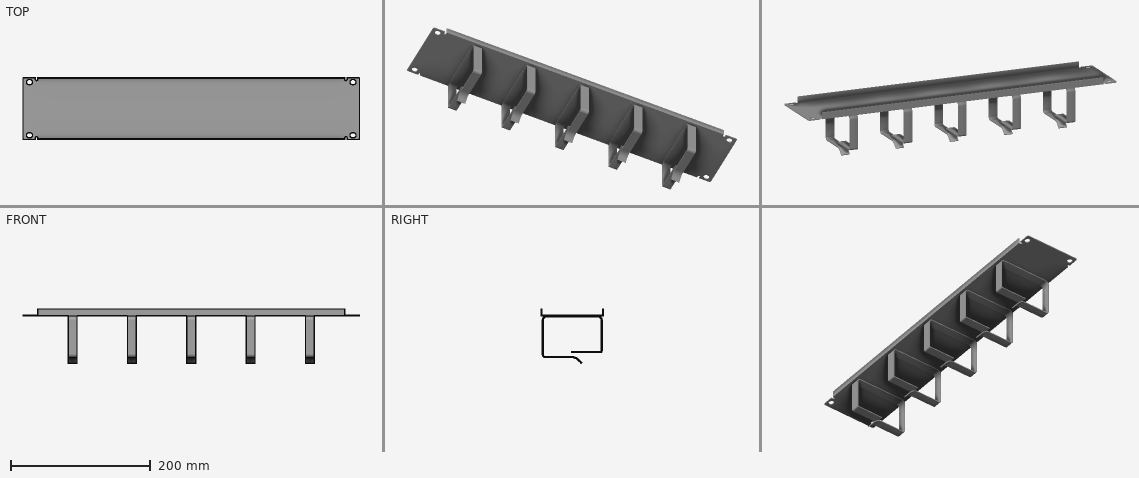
import cadquery as cq
import math

PANEL_LENGTH = 482.6
PANEL_WIDTH = 89.0
SHEET = 1.5
CORNER_RADIUS = 2.0
OVERALL_HEIGHT = 77.93

FLANGE_LENGTH = 440.0
FLANGE_HEIGHT = 10.0

NOTCH_WIDTH = 3.2
NOTCH_DEPTH = 4.2

SLOT_LENGTH = 8.5
SLOT_WIDTH = 7.0
SLOT_SPACING_X = 463.6
SLOT_SPACING_Y = 76.2

RING_COUNT = 5
RING_PITCH = 85.0
RING_WIDTH = 13.0
RING_SPAN = PANEL_WIDTH - 2 * SHEET
WEB_BEND_RADIUS = 5.25
ARM_BEND_RADIUS = 3.9
LIP_BEND_RADIUS = 2.0
LIP_Z = -52.5
ARM_Z = -59.7
LIP_END_Y = -1.0

CURL_START_Y = -0.5
CURL_ANGLE = math.radians(45)
CURL_RADIUS = 12.75


def make_panel():
    """Flat sheet with rounded corners."""
    sheet = cq.Workplane("XY").box(PANEL_LENGTH, PANEL_WIDTH, SHEET, centered=(True, True, False))
    return sheet.edges("|Z").fillet(CORNER_RADIUS)


def make_flanges():
    """Upright walls standing on the two long panel edges."""
    wall_y = (PANEL_WIDTH - SHEET) / 2
    return (
        cq.Workplane("XY")
        .pushPoints([(0, -wall_y), (0, wall_y)])
        .rect(FLANGE_LENGTH, SHEET)
        .extrude(FLANGE_HEIGHT)
    )


def make_notches():
    """Cutters for the round-ended relief notches at the four flange ends."""
    return (
        cq.Workplane("XY")
        .rect(FLANGE_LENGTH + NOTCH_WIDTH, PANEL_WIDTH, forConstruction=True)
        .vertices()
        .slot2D(2 * NOTCH_DEPTH, NOTCH_WIDTH, angle=90)
        .extrude(SHEET)
    )


def make_slots():
    """Cutters for the four mounting slots."""
    return (
        cq.Workplane("XY")
        .rect(SLOT_SPACING_X, SLOT_SPACING_Y, forConstruction=True)
        .vertices()
        .slot2D(SLOT_LENGTH, SLOT_WIDTH)
        .extrude(SHEET)
    )


def make_ring(center_x):
    """Open ring: lip and short leg at +Y, web under the panel, long leg and curled arm at -Y."""
    leg_y = (RING_SPAN - SHEET) / 2
    web_z = -SHEET / 2
    lip_z = LIP_Z + SHEET / 2
    arm_z = ARM_Z + SHEET / 2

    curl_end_y = CURL_START_Y + CURL_RADIUS * math.sin(CURL_ANGLE)
    curl_end_z = arm_z - CURL_RADIUS * (1 - math.cos(CURL_ANGLE))
    tip_z = FLANGE_HEIGHT - OVERALL_HEIGHT + SHEET / 2 * math.cos(CURL_ANGLE)
    tip_y = curl_end_y + (curl_end_z - tip_z) / math.tan(CURL_ANGLE)

    middle_line = (
        cq.Workplane("YZ", origin=(center_x, 0, 0))
        .moveTo(LIP_END_Y, lip_z)
        .lineTo(leg_y - LIP_BEND_RADIUS, lip_z)
        .tangentArcPoint((leg_y, lip_z + LIP_BEND_RADIUS), relative=False)
        .lineTo(leg_y, web_z - WEB_BEND_RADIUS)
        .tangentArcPoint((leg_y - WEB_BEND_RADIUS, web_z), relative=False)
        .lineTo(WEB_BEND_RADIUS - leg_y, web_z)
        .tangentArcPoint((-leg_y, web_z - WEB_BEND_RADIUS), relative=False)
        .lineTo(-leg_y, arm_z + ARM_BEND_RADIUS)
        .tangentArcPoint((ARM_BEND_RADIUS - leg_y, arm_z), relative=False)
        .lineTo(CURL_START_Y, arm_z)
        .tangentArcPoint((curl_end_y, curl_end_z), relative=False)
        .lineTo(tip_y, tip_z)
    )
    section = cq.Workplane("XZ", origin=(center_x, LIP_END_Y, lip_z)).rect(RING_WIDTH, SHEET)
    return section.sweep(middle_line)


result = make_panel().union(make_flanges()).cut(make_notches()).cut(make_slots())
first_ring_x = -(RING_COUNT - 1) / 2 * RING_PITCH
for index in range(RING_COUNT):
    result = result.union(make_ring(first_ring_x + index * RING_PITCH))